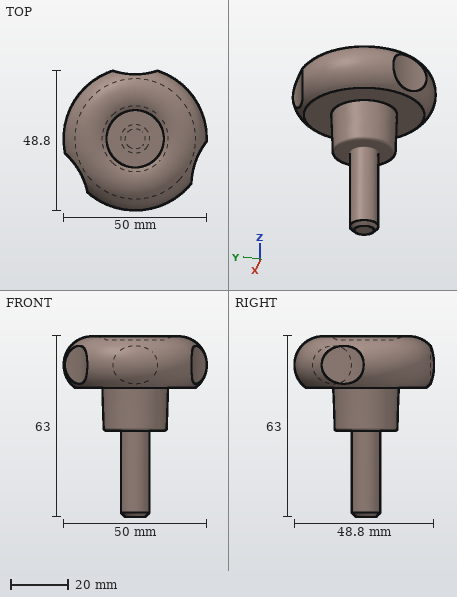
import cadquery as cq
import math

head_radius = 25.0
ring_section_radius = 10.0
ring_center_radius = head_radius - ring_section_radius
top_disc_radius = 10.0
head_height = 18.0

scallop_radius = 25.0
scallop_floor_radius = 22.5
scallop_angles = (90.0, 210.0, 340.0)

hub_top_radius = 11.5
hub_bottom_radius = 11.0
hub_length = 15.0
hub_edge_fillet = 1.0

stud_radius = 5.0
stud_length = 30.0
stud_chamfer = 1.5
stud_root_fillet = 0.2

head_bottom_z = hub_length
head_top_z = head_bottom_z + head_height
ring_center_z = head_top_z - ring_section_radius


def ring_half_height(radius):
    """Half height of the ring's circular section at a distance from the knob axis."""
    return math.sqrt(ring_section_radius**2 - (radius - ring_center_radius) ** 2)


def make_head():
    top_disc_z = ring_center_z + ring_half_height(top_disc_radius)
    underside_drop = ring_center_z - head_bottom_z
    underside_radius = ring_center_radius + math.sqrt(ring_section_radius**2 - underside_drop**2)
    profile = (
        cq.Workplane("XZ")
        .moveTo(0, head_bottom_z)
        .lineTo(underside_radius, head_bottom_z)
        .threePointArc((ring_center_radius, head_top_z), (top_disc_radius, top_disc_z))
        .lineTo(0, top_disc_z)
        .close()
    )
    return profile.revolve(360, (0, 0, 0), (0, 1, 0))


def make_scallop_cutter(angle):
    axis_distance = scallop_floor_radius + scallop_radius
    return (
        cq.Workplane("XY", origin=(0, 0, head_bottom_z))
        .center(
            axis_distance * math.cos(math.radians(angle)),
            axis_distance * math.sin(math.radians(angle)),
        )
        .circle(scallop_radius)
        .extrude(head_height)
    )


def make_hub():
    hub = (
        cq.Workplane("XY")
        .circle(hub_bottom_radius)
        .workplane(offset=hub_length)
        .circle(hub_top_radius)
        .loft()
    )
    return hub.faces("<Z").edges().fillet(hub_edge_fillet)


def make_stud():
    """Stud hanging below z = 0, flaring out at its root with a small concave fillet."""
    root_radius = stud_radius + stud_root_fillet
    tip_radius = stud_radius - stud_chamfer
    profile = (
        cq.Workplane("XZ")
        .lineTo(root_radius, 0)
        .radiusArc((stud_radius, -stud_root_fillet), -stud_root_fillet)
        .lineTo(stud_radius, stud_chamfer - stud_length)
        .lineTo(tip_radius, -stud_length)
        .lineTo(0, -stud_length)
        .close()
    )
    return profile.revolve(360, (0, 0, 0), (0, 1, 0))


head = make_head()
for scallop_angle in scallop_angles:
    head = head.cut(make_scallop_cutter(scallop_angle))

result = head.union(make_hub()).union(make_stud())